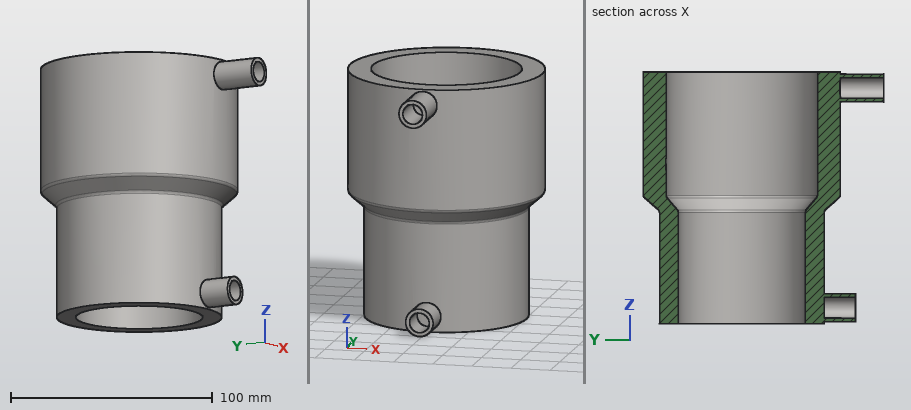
import cadquery as cq

height = 125.0
upper_diameter = 98.0
lower_diameter = 82.0
upper_bore = 75.0
lower_bore = 63.0
cone_top = 63.1
cone_height = 7.0
cone_bottom = cone_top - cone_height
blend_radius = 2.0

tube_diameter = 14.0
tube_hole = 10.0
tube_inset = 8.0
tube_root = 2.0
overall_depth = 119.5
upper_tube_reach = overall_depth - upper_diameter / 2
lower_tube_reach = 56.5


def stepped_round(upper, lower):
    """Round body with two diameters joined by a cone with blended edges."""
    body = (
        cq.Workplane("XZ")
        .moveTo(0, 0)
        .lineTo(lower / 2, 0)
        .lineTo(lower / 2, cone_bottom)
        .lineTo(upper / 2, cone_top)
        .lineTo(upper / 2, height)
        .lineTo(0, height)
        .close()
        .revolve(360, (0, 0, 0), (0, 1, 0))
    )
    step_edges = cq.selectors.BoxSelector(
        (-upper, -upper, cone_bottom - blend_radius),
        (upper, upper, cone_top + blend_radius),
    )
    return body.edges("%CIRCLE").edges(step_edges).fillet(blend_radius)


def rod(diameter, reach, z):
    """Round rod from the sleeve axis to its tip on the -Y side."""
    return cq.Workplane("XZ", origin=(0, 0, z)).circle(diameter / 2).extrude(reach)


def terminal(sleeve_diameter, reach, z):
    """Tube standing on the sleeve, its hole ending at the sleeve's outer wall."""
    tube = rod(tube_diameter, reach, z).cut(rod(tube_hole, reach, z))
    sleeve_core = cq.Workplane("XY").circle(sleeve_diameter / 2 - tube_root).extrude(height)
    return tube.cut(sleeve_core)


outer = stepped_round(upper_diameter, lower_diameter)
bore = stepped_round(upper_bore, lower_bore)

result = (
    outer.cut(bore)
    .union(terminal(upper_diameter, upper_tube_reach, height - tube_inset))
    .union(terminal(lower_diameter, lower_tube_reach, tube_inset))
)